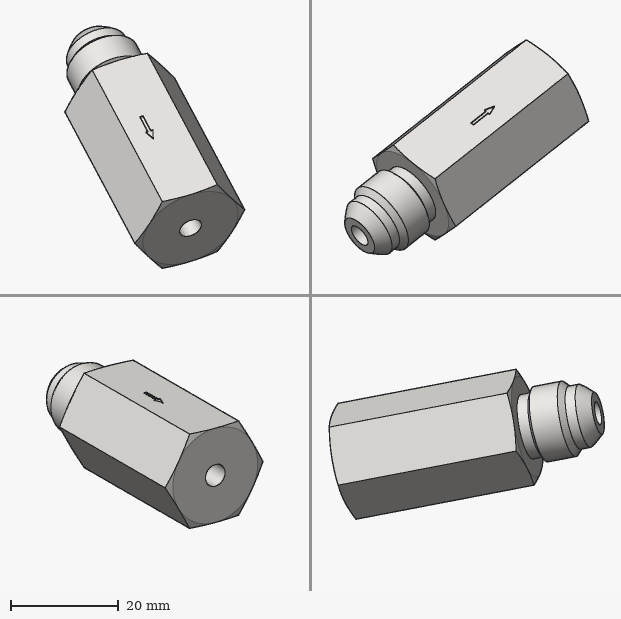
import cadquery as cq
import math

total_length = 49.2
across_flats = 19.05
bore_diameter = 4.37

nose_diameter = 11.96
tip_diameter = 7.92
flare_length = 2.54
flare_bulge = 0.11
collar_end = 4.5
thread_diameter = 14.28
lead_in_angle = 45.0
thread_end = 11.1
runout_angle = 30.0
neck_diameter = 12.17

hex_start = 13.8
hex_length = total_length - hex_start
across_corners = across_flats / math.cos(math.radians(30))
hex_chamfer_angle = 15.0

arrow_tail_x = 28.05
arrow_head_x = 31.9
arrow_tip_x = 33.9
arrow_center_y = -1.26
arrow_shaft_width = 0.6
arrow_head_width = 1.4
arrow_depth = 0.2


def slope(angle):
    """Rise over run for an angle in degrees."""
    return math.tan(math.radians(angle))


def revolve_about_x(outline):
    """Turn a closed (X, radius) outline about the part axis."""
    return outline.revolve(360, (0, 0, 0), (1, 0, 0))


def make_male_end():
    tip_radius = tip_diameter / 2
    nose_radius = nose_diameter / 2
    thread_radius = thread_diameter / 2
    neck_radius = neck_diameter / 2
    thread_start = collar_end + (thread_radius - nose_radius) / slope(lead_in_angle)
    neck_start = thread_end + (thread_radius - neck_radius) * slope(runout_angle)

    flare_rise = nose_radius - tip_radius
    flare_chord = math.hypot(flare_length, flare_rise)
    flare_middle = (
        flare_length / 2 - flare_bulge * flare_rise / flare_chord,
        (tip_radius + nose_radius) / 2 + flare_bulge * flare_length / flare_chord,
    )
    outline = (
        cq.Workplane("XY")
        .lineTo(0, tip_radius)
        .threePointArc(flare_middle, (flare_length, nose_radius))
        .lineTo(collar_end, nose_radius)
        .lineTo(thread_start, thread_radius)
        .lineTo(thread_end, thread_radius)
        .lineTo(neck_start, neck_radius)
        .lineTo(hex_start, neck_radius)
        .lineTo(hex_start, 0)
        .close()
    )
    return revolve_about_x(outline)


def make_hex_body():
    """Hexagonal prism with flats facing +Z and -Z, its corners turned down at both ends."""
    prism = (
        cq.Workplane("YZ")
        .workplane(offset=hex_start)
        .polygon(6, across_corners)
        .extrude(hex_length)
    )
    flat_radius = across_flats / 2
    corner_radius = across_corners / 2
    chamfer_length = (corner_radius - flat_radius) * slope(hex_chamfer_angle)
    envelope_outline = (
        cq.Workplane("XY")
        .moveTo(hex_start, 0)
        .lineTo(hex_start, flat_radius)
        .lineTo(hex_start + chamfer_length, corner_radius)
        .lineTo(total_length - chamfer_length, corner_radius)
        .lineTo(total_length, flat_radius)
        .lineTo(total_length, 0)
        .close()
    )
    return prism.intersect(revolve_about_x(envelope_outline))


def make_bore():
    return cq.Workplane("YZ").circle(bore_diameter / 2).extrude(total_length)


def make_flow_arrow():
    half_shaft = arrow_shaft_width / 2
    half_head = arrow_head_width / 2
    return (
        cq.Workplane("XY", origin=(0, arrow_center_y, across_flats / 2))
        .polyline([
            (arrow_tail_x, -half_shaft),
            (arrow_head_x, -half_shaft),
            (arrow_head_x, -half_head),
            (arrow_tip_x, 0),
            (arrow_head_x, half_head),
            (arrow_head_x, half_shaft),
            (arrow_tail_x, half_shaft),
        ])
        .close()
        .extrude(-arrow_depth)
    )


result = make_hex_body().union(make_male_end()).cut(make_bore()).cut(make_flow_arrow())